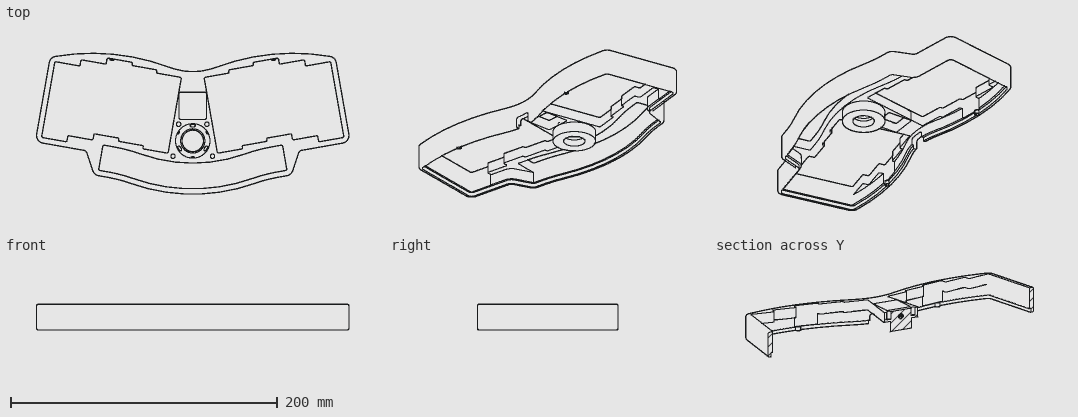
import cadquery as cq
import math


HEIGHT = 19.6
DECK_THICKNESS = 8.0
DECK_UNDERSIDE = HEIGHT - DECK_THICKNESS
WALL = 4.2
RIM_ROUND = 1.6
CAVITY_WALL = 4.5
CORNER_RADIUS = 6.0
SHOULDER_RADIUS = 3.0

REBATE_WALL = 2.8
REBATE_DEPTH = 3.1

SPLAY = 10.0
KEY_PITCH = 19.05
WELL_INNER_EDGE = -16.7
WELL_LENGTH = 57.5
WELL_TALLEST_TOP = 50.0
WELL_CORNER_RADIUS = 1.0
STAGGER_STEP = KEY_PITCH / 8
COLUMN_DROPS = [2, 1, 0, 2, 4]
WELL_OUTER_EDGE = WELL_INNER_EDGE - len(COLUMN_DROPS) * KEY_PITCH
WELL_LOWEST = WELL_TALLEST_TOP - WELL_LENGTH - max(COLUMN_DROPS) * STAGGER_STEP

BACK_CREST_X = -75.2
BACK_CREST_Y = 65.75
BACK_CREST_RADIUS = 162.7
BACK_JOIN_X = -17.5

OVERALL_DEPTH = 105.75
FRONT_Y = BACK_CREST_Y - OVERALL_DEPTH
FRONT_ANGLE = 19.7
BELLY_RADIUS = 137.7
REVERSE_RADIUS = 104.0
SHOULDER_X = -79.9
FRONT_CORNER_X = -73.9

WINDOW_WIDTH = KEY_PITCH
WINDOW_END = -65.6
WINDOW_CORNER_RADIUS = 1.0

OPENING_SIZE = 20.3
OPENING_FRONT_Y = 16.1
OPENING_CORNER_RADIUS = 1.0

NOTCH_WIDTH = 13.0
NOTCH_HEIGHT = 8.0
NOTCH_TOP_RADIUS = 2.0
NOTCH_START_Y = 45.0

BOSS_DIAMETER = 4.0
BOSS_HOLE_DIAMETER = 2.4
BOSS_X = 60.4
BOSS_Y = 62.1

SOCKET_RADIUS = 16.0
SOCKET_DEPTH = 16.0
BALL_RADIUS = 13.0
BALL_CENTRE_RISE = 1.5
SEAT_EDGE_RADIUS = 9.1
BORE_RADIUS = 8.0
BORE_DEPTH = 10.8
BEARING_ANGLES = [90, 210, 330]
BEARING_SEAT_DIAMETER = 4.0
BEARING_SEAT_DEPTH = 2.0
BEARING_HOLE_DIAMETER = 2.4
BEARING_HOLE_DEPTH = 4.0
BEARING_RADIUS = 11.4
SIDE_HOLE_DEPTH = 2.7
SIDE_HOLE_END_RADIUS = 15.0

SCREW_DIAMETER = 3.35
SCREW_DEPTH = 6.0
SCREW_POINTS = [(10.6, 12.5), (14.8, -11.5)]


def turned(u, v):
    """Point of the left key frame, turned by the splay angle, in part X and Y."""
    a = math.radians(SPLAY)
    return (u * math.cos(a) + v * math.sin(a), v * math.cos(a) - u * math.sin(a))


def unturned(x, y):
    """Part X and Y expressed in the left key frame."""
    a = math.radians(SPLAY)
    return (x * math.cos(a) - y * math.sin(a), x * math.sin(a) + y * math.cos(a))


def on_circle(centre, radius, angle):
    """Point on a circle; the angle is measured from +Y towards +X."""
    a = math.radians(angle)
    return (centre[0] + radius * math.sin(a), centre[1] + radius * math.cos(a))


def front_curve(inset):
    """Left half of the front curve moved inwards: end, reverse mid, join, belly mid, centre."""
    belly_centre = (0, FRONT_Y + BELLY_RADIUS)
    belly = BELLY_RADIUS - inset
    reverse_centre = on_circle(belly_centre, BELLY_RADIUS + REVERSE_RADIUS, 180 + FRONT_ANGLE)
    reverse = REVERSE_RADIUS + inset
    end = on_circle(reverse_centre, reverse, SPLAY)
    reverse_mid = on_circle(reverse_centre, reverse, (SPLAY + FRONT_ANGLE) / 2)
    join = on_circle(belly_centre, belly, 180 + FRONT_ANGLE)
    belly_mid = on_circle(belly_centre, belly, 180 + FRONT_ANGLE / 2)
    return end, reverse_mid, join, belly_mid, (0, FRONT_Y + inset)


def round_corner(solid, point, radius):
    """Round the upright edge at a point of the left half and its mirror image."""
    x, y = point
    for side in (1, -1):
        corner = cq.NearestToPointSelector((side * x, y, HEIGHT / 2))
        solid = solid.edges("|Z").edges(corner).fillet(radius)
    return solid


def outer_block():
    """Solid block with the outer outline and rounded upright corners."""
    crest_centre = (BACK_CREST_X, BACK_CREST_Y - BACK_CREST_RADIUS)
    join_angle = math.degrees(math.asin((BACK_JOIN_X - BACK_CREST_X) / BACK_CREST_RADIUS))
    back_join = on_circle(crest_centre, BACK_CREST_RADIUS, join_angle)
    valley_radius = -BACK_JOIN_X / math.sin(math.radians(join_angle))
    valley_centre = on_circle(crest_centre, BACK_CREST_RADIUS + valley_radius, join_angle)
    valley = (0, valley_centre[1] - valley_radius)
    valley_mid = on_circle(valley_centre, valley_radius, 180 + join_angle / 2)

    side_u = WELL_OUTER_EDGE - WALL
    centre_u, centre_v = unturned(*crest_centre)
    back_corner = turned(side_u, centre_v + math.sqrt(BACK_CREST_RADIUS**2 - (side_u - centre_u) ** 2))
    crest = (BACK_CREST_X, BACK_CREST_Y)
    side_corner = turned(side_u, WELL_LOWEST - WALL)
    slope = math.tan(math.radians(SPLAY))
    shoulder = (SHOULDER_X, side_corner[1] - slope * (SHOULDER_X - side_corner[0]))
    end, reverse_mid, join, belly_mid, centre = front_curve(0)
    front_corner = (FRONT_CORNER_X, end[1] + slope * (end[0] - FRONT_CORNER_X))

    block = (
        cq.Workplane("XY")
        .moveTo(*valley)
        .threePointArc(valley_mid, back_join)
        .threePointArc(crest, back_corner)
        .lineTo(*side_corner)
        .lineTo(*shoulder)
        .lineTo(*front_corner)
        .lineTo(*end)
        .threePointArc(reverse_mid, join)
        .threePointArc(belly_mid, centre)
        .mirrorY()
        .extrude(HEIGHT)
        .clean()
    )
    corner_radii = [
        (back_corner, CORNER_RADIUS),
        (side_corner, CORNER_RADIUS),
        (shoulder, SHOULDER_RADIUS),
        (front_corner, CORNER_RADIUS),
    ]
    for point, radius in corner_radii:
        block = round_corner(block, point, radius)
    return block


def both_sides(left):
    """A left-hand cutter together with its mirror image."""
    return left.union(left.mirror("YZ"))


def key_wells():
    """Cutter for the staggered key columns of both halves."""
    wells = cq.Workplane("XY")
    for column, drop in enumerate(COLUMN_DROPS):
        centre_u = WELL_INNER_EDGE - (column + 0.5) * KEY_PITCH
        centre_v = WELL_TALLEST_TOP - drop * STAGGER_STEP - WELL_LENGTH / 2
        well = cq.Workplane("XY").center(centre_u, centre_v).rect(KEY_PITCH, WELL_LENGTH).extrude(HEIGHT)
        wells = wells.union(well)
    wells = wells.clean().edges("|Z").fillet(WELL_CORNER_RADIUS)
    return both_sides(wells.rotate((0, 0, 0), (0, 0, 1), -SPLAY))


def window():
    """Cutter for the curved window behind the front wall."""
    near_end, near_mid, near_join, near_belly, near_centre = front_curve(WALL)
    far_end, far_mid, far_join, far_belly, far_centre = front_curve(WALL + WINDOW_WIDTH)
    near_corner = turned(WINDOW_END, unturned(*near_end)[1])
    far_corner = turned(WINDOW_END, unturned(*far_end)[1])
    opening = (
        cq.Workplane("XY")
        .moveTo(*far_centre)
        .threePointArc(far_belly, far_join)
        .threePointArc(far_mid, far_end)
        .lineTo(*far_corner)
        .lineTo(*near_corner)
        .lineTo(*near_end)
        .threePointArc(near_mid, near_join)
        .threePointArc(near_belly, near_centre)
        .mirrorY()
        .extrude(HEIGHT)
        .clean()
    )
    for corner in (near_corner, far_corner):
        opening = round_corner(opening, corner, WINDOW_CORNER_RADIUS)
    return opening


def deck_opening():
    """Cutter for the square opening behind the socket."""
    return (
        cq.Workplane("XY")
        .center(0, OPENING_FRONT_Y + OPENING_SIZE / 2)
        .rect(OPENING_SIZE, OPENING_SIZE)
        .extrude(HEIGHT)
        .edges("|Z")
        .fillet(OPENING_CORNER_RADIUS)
    )


def socket_body():
    """Cylinder that carries the ball, hanging from the deck."""
    bottom = cq.Workplane("XY").workplane(offset=HEIGHT - SOCKET_DEPTH)
    return bottom.circle(SOCKET_RADIUS).extrude(SOCKET_DEPTH)


def socket_cavity():
    """Cutter for the ball seat, the taper below it and the bore."""
    ball_z = HEIGHT + BALL_CENTRE_RISE
    seat_edge_z = ball_z - math.sqrt(BALL_RADIUS**2 - SEAT_EDGE_RADIUS**2)
    ball = cq.Workplane("XY").sphere(BALL_RADIUS).translate((0, 0, ball_z))
    throat = (
        cq.Workplane("XZ")
        .polyline(
            [
                (0, 0),
                (BORE_RADIUS, 0),
                (BORE_RADIUS, HEIGHT - BORE_DEPTH),
                (SEAT_EDGE_RADIUS, seat_edge_z),
                (0, seat_edge_z),
            ]
        )
        .close()
        .revolve(360, (0, 0, 0), (0, 1, 0))
    )
    return ball.union(throat)


def cylinder_along(start, direction, diameter, length):
    """Cylinder from a start point along a direction."""
    return cq.Workplane(cq.Solid.makeCylinder(diameter / 2, length, cq.Vector(*start), cq.Vector(*direction)))


def bearing_holes():
    """Cutter for the three bearing seats, their blind holes and the side holes opposite them."""
    ball_z = HEIGHT + BALL_CENTRE_RISE
    tilt_drop = math.sqrt(BALL_RADIUS**2 - BEARING_RADIUS**2)
    cutter = cq.Workplane("XY")
    for angle in BEARING_ANGLES:
        a = math.radians(angle)
        centre = (0, 0, ball_z)
        seat_axis = (BEARING_RADIUS * math.cos(a), BEARING_RADIUS * math.sin(a), -tilt_drop)
        seat = cylinder_along(centre, seat_axis, BEARING_SEAT_DIAMETER, BALL_RADIUS + BEARING_SEAT_DEPTH)
        hole = cylinder_along(centre, seat_axis, BEARING_HOLE_DIAMETER, BALL_RADIUS + BEARING_HOLE_DEPTH)
        side_axis = (-math.cos(a), -math.sin(a), 0)
        side_start = (0, 0, HEIGHT - SIDE_HOLE_DEPTH)
        side = cylinder_along(side_start, side_axis, BEARING_HOLE_DIAMETER, SIDE_HOLE_END_RADIUS)
        cutter = cutter.union(seat).union(hole).union(side)
    return cutter


def screw_holes():
    """Cutter for the four blind screw holes around the socket."""
    points = [(side * x, y) for x, y in SCREW_POINTS for side in (1, -1)]
    top = cq.Workplane("XY").workplane(offset=HEIGHT)
    return top.pushPoints(points).circle(SCREW_DIAMETER / 2).extrude(-SCREW_DEPTH)


def inner_space(block, wall, height):
    """Solid from the underside upwards that leaves a wall inside the outer outline."""
    outline = block.faces("<Z").wires().toPending()
    return outline.offset2D(-wall).extrude(height, combine=False)


def cable_notch():
    """Cutter for the cable notch in the middle of the back wall."""
    length = BACK_CREST_Y - NOTCH_START_Y
    return (
        cq.Workplane("XY")
        .center(0, NOTCH_START_Y + length / 2)
        .rect(NOTCH_WIDTH, length)
        .extrude(NOTCH_HEIGHT)
        .edges(">Z and |Y")
        .fillet(NOTCH_TOP_RADIUS)
    )


def at_bosses(diameter):
    """Cylinders of the rebate depth at both bottom-plate screw positions."""
    points = [(side * BOSS_X, BOSS_Y) for side in (1, -1)]
    return cq.Workplane("XY").pushPoints(points).circle(diameter / 2).extrude(REBATE_DEPTH)


block = outer_block()
rounded_block = block.faces("<Z or >Z").edges().fillet(RIM_ROUND)
frame = rounded_block.cut(inner_space(block, CAVITY_WALL, DECK_UNDERSIDE))
frame = frame.cut(key_wells()).cut(window()).cut(deck_opening())
frame = frame.cut(inner_space(block, REBATE_WALL, REBATE_DEPTH)).cut(cable_notch())
frame = frame.union(at_bosses(BOSS_DIAMETER).intersect(rounded_block)).cut(at_bosses(BOSS_HOLE_DIAMETER))
frame = frame.union(socket_body()).cut(socket_cavity()).cut(bearing_holes())
result = frame.cut(screw_holes())